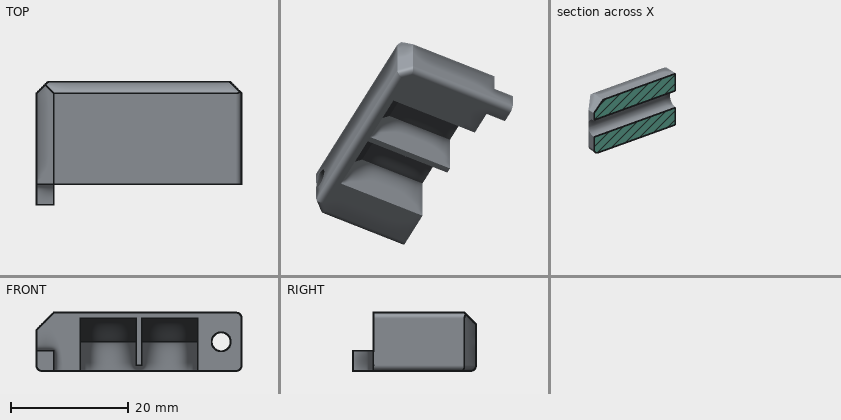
import cadquery as cq

length = 35.0
depth = 17.5
height = 10.0
left_chamfer = 3.0
back_chamfer = 2.0
edge_radius = 1.0

tab_width = left_chamfer
tab_height = 3.5
tab_reach = 3.5

pocket_left = 7.5
pocket_width = 20.0
roof_thickness = 1.0
back_wall = 2.0
roof_slope = 4.0
pocket_top = height - roof_thickness
pocket_back = depth - back_wall

rib_thickness = 1.0
rib_bottom = 1.0
rib_left = pocket_left + (pocket_width - rib_thickness) / 2

hole_diameter = 3.2
hole_from_right = 3.5


def make_left_corner():
    """Triangular prism that cuts the upper left edge at 45 degrees, straight out to the back."""
    return (
        cq.Workplane("XZ")
        .moveTo(0, height - left_chamfer)
        .lineTo(left_chamfer, height)
        .lineTo(0, height)
        .close()
        .extrude(-depth)
    )


def make_body():
    """Block and tab with their chamfered and rounded outer edges."""
    block = cq.Workplane("XY").box(length, depth, height, centered=False)
    tab = (
        cq.Workplane("XY")
        .box(tab_width, tab_reach, tab_height, centered=False)
        .translate((0, -tab_reach, 0))
    )
    body = block.faces(">Y").edges("not <Z").chamfer(back_chamfer)
    body = body.cut(make_left_corner()).union(tab)
    bottom_edges = body.faces("<Z").edges("<X or >X or >Y or (not (|X or |Y))")
    body = bottom_edges.fillet(edge_radius)
    return body.edges("|Y and >Z and >X").fillet(edge_radius)


def make_pocket():
    """Pocket volume: its side profile extruded across the pocket width."""
    return (
        cq.Workplane("YZ", origin=(pocket_left, 0, 0))
        .moveTo(0, 0)
        .lineTo(pocket_back, 0)
        .lineTo(pocket_back, pocket_top - roof_slope)
        .lineTo(pocket_back - roof_slope, pocket_top)
        .lineTo(0, pocket_top)
        .close()
        .extrude(pocket_width)
    )


def make_rib():
    """Rib from the front face to the back wall, up into the roof."""
    rib_height = pocket_top - rib_bottom
    return (
        cq.Workplane("XY", origin=(rib_left, 0, rib_bottom))
        .box(rib_thickness, pocket_back, rib_height, centered=False)
    )


def make_hole():
    """Screw hole along Y, at mid height."""
    return (
        cq.Workplane("XZ", origin=(length - hole_from_right, 0, height / 2))
        .circle(hole_diameter / 2)
        .extrude(-depth)
    )


result = make_body().cut(make_pocket()).union(make_rib()).cut(make_hole())